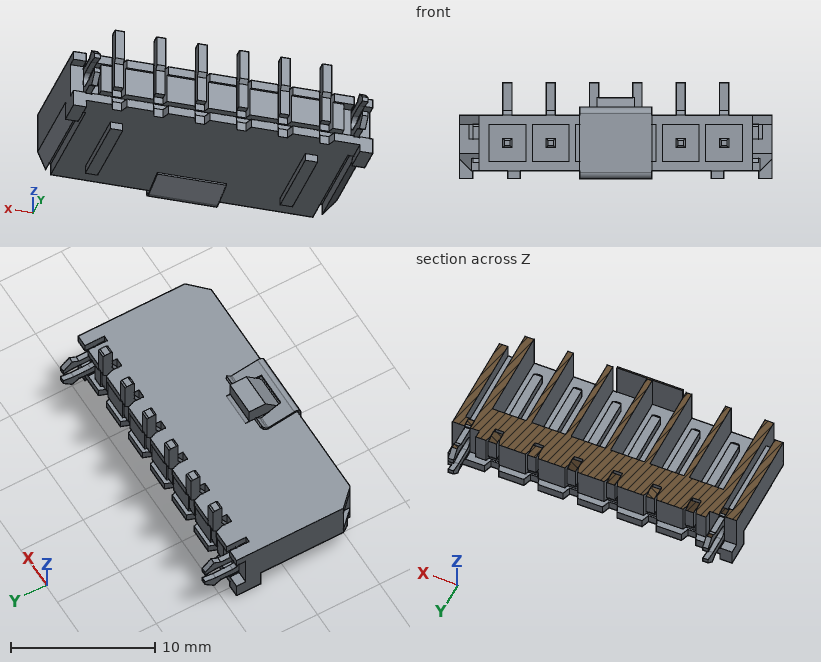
import cadquery as cq
import math


LENGTH = 21.65
DEPTH = 9.92
HEIGHT = 3.85
WALL = 0.65
HALF = LENGTH / 2
ROOF_Z = HEIGHT - WALL

PIN_COUNT = 6
PITCH = 3.0
CAVITY = HEIGHT - 2 * WALL
CAVITY_DEPTH = 6.93
PIN_SIZE = 0.65
PIN_AXIS_Z = HEIGHT / 2
PIN_TIP_Y = 1.95
PIN_TIP_SIZE = 0.37
PIN_TAPER = 0.2
LEG_FRONT_Y = 9.3
LEG_DEPTH = 0.74
LEG_BACK_Y = LEG_FRONT_Y + LEG_DEPTH
LEG_TOP_Z = HEIGHT + 2.27
LEG_CHAMFER_DEPTH = 0.13
LEG_CHAMFER_HEIGHT = 0.06
GUSSET_RISE = 0.32
GUSSET_FRONT_Y = 8.55
GUSSET_ANGLE = 60.0
HEEL_DROP = 0.06
NOTCH_MOUTH = 1.08

RECESS_Y = 9.18
REAR_WALL_Y = 9.76
REAR_WALL_Z = 1.08

CORNER = 1.35
EDGE_CHAMFER = 0.82
INNER_X = HALF - CORNER
POCKET_FLOOR_Z = 1.2
WINDOW_WIDTH = 0.67
WINDOW_FLOOR_Z = 2.19
CHANNEL_HEIGHT = 0.87

STANDOFF = 0.55
FOOT_DEPTH = 1.95
RIB_INNER_X = 6.6
RIB_WIDTH = 0.89
RIB_FRONT_Y = 1.7
RIB_LENGTH = 6.02

LATCH_WIDTH = 2.62
LATCH_HEIGHT = 1.21
LATCH_FRONT_Y = 0.78
LATCH_BACK_Y = 3.31
LATCH_TOE_LENGTH = 0.28
LATCH_TOE_HEIGHT = 0.09

LOCK_THICKNESS = 0.41
LOCK_FRONT_Y = 8.35
LOCK_BACK_Y = 11.89
LOCK_AXIS_Z = 1.9
LOCK_BOTTOM_Z = 0.58
LOCK_FACE_STEP = 0.1
ARM_OUTER = 1.1
ARM_INNER = 0.55
BARB_PEAK = 1.4
BARB_PEAK_Y = 11.17
BARB_FOOT_Y = 10.63
TIP_OUTER = 0.75
TIP_INNER = 0.41
TIP_BEND_Y = 11.05
FORK_CENTRE_Y = 9.68
SHOULDER_Z = 3.25
SHOULDER_FOOT_Y = 9.11
SHOULDER_STEP = 0.1
SHOULDER_TOP_Y = 8.92
UPPER_TOOTH_Z = 3.05

FOOT_WIDTH = HALF - INNER_X - LOCK_THICKNESS

CLIP_WIDTH = 5.0
SHEET = 0.15
BEND_RADIUS = 0.45
BEND_OVERHANG = 0.1
CONTACT_Y = 2.5
LIP_END_Y = 3.0
LIP_ANGLE = 44.0
LIP_RADIUS = 0.13
LIP_CHAMFER = 0.15
CLIP_SLOT_MOUTH = 3.07
CLIP_SLOT_MOUTH_Y = 2.38


def block(x0, x1, y0, y1, z0, z1):
    """Axis-aligned box between two opposite corners."""
    return cq.Workplane("XY").box(x1 - x0, y1 - y0, z1 - z0, centered=False).translate((x0, y0, z0))


def side_profile(points, x_centre, width):
    """Closed (Y, Z) polygon extruded along X about x_centre."""
    sketch = cq.Workplane("YZ").workplane(offset=x_centre - width / 2)
    return sketch.polyline(points).close().extrude(width)


def with_mirror(shape):
    """The shape together with its mirror image across X = 0."""
    return shape.union(shape.mirror("YZ"))


def contact_positions():
    return [(i - (PIN_COUNT - 1) / 2) * PITCH for i in range(PIN_COUNT)]


def make_pin(x):
    bottom = PIN_AXIS_Z - PIN_SIZE / 2
    top = PIN_AXIS_Z + PIN_SIZE / 2
    shank_y = PIN_TIP_Y + PIN_TAPER
    heel_z = HEIGHT - HEEL_DROP
    gusset_drop = (LEG_FRONT_Y - GUSSET_FRONT_Y) * math.tan(math.radians(GUSSET_ANGLE))
    outline = [
        (shank_y, bottom),
        (REAR_WALL_Y, bottom),
        (REAR_WALL_Y, heel_z - (LEG_BACK_Y - REAR_WALL_Y)),
        (LEG_BACK_Y, heel_z),
        (LEG_BACK_Y, LEG_TOP_Z - LEG_CHAMFER_HEIGHT),
        (LEG_BACK_Y - LEG_CHAMFER_DEPTH, LEG_TOP_Z),
        (LEG_FRONT_Y + LEG_CHAMFER_DEPTH, LEG_TOP_Z),
        (LEG_FRONT_Y, LEG_TOP_Z - LEG_CHAMFER_HEIGHT),
        (LEG_FRONT_Y, HEIGHT + GUSSET_RISE),
        (GUSSET_FRONT_Y, HEIGHT + GUSSET_RISE - gusset_drop),
        (GUSSET_FRONT_Y, top),
        (shank_y, top),
    ]
    body = side_profile(outline, x, PIN_SIZE)
    tip = (
        cq.Workplane("XZ", origin=(x, shank_y, PIN_AXIS_Z))
        .rect(PIN_SIZE, PIN_SIZE)
        .workplane(offset=PIN_TAPER)
        .rect(PIN_TIP_SIZE, PIN_TIP_SIZE)
        .loft()
    )
    return body.union(tip)


def make_lock(side):
    """Forked board lock; side is -1 or 1 for the end of the housing."""
    def above(distance):
        return LOCK_AXIS_Z + distance

    def below(distance):
        return LOCK_AXIS_Z - distance

    face_y = LOCK_FRONT_Y + LOCK_FACE_STEP
    x_centre = side * (INNER_X + LOCK_THICKNESS / 2)
    outline = (
        cq.Workplane("YZ")
        .workplane(offset=x_centre - LOCK_THICKNESS / 2)
        .moveTo(FORK_CENTRE_Y, above(ARM_INNER))
        .lineTo(TIP_BEND_Y, above(ARM_INNER))
        .lineTo(LOCK_BACK_Y, above(TIP_INNER))
        .lineTo(LOCK_BACK_Y, above(TIP_OUTER))
        .lineTo(BARB_PEAK_Y, above(BARB_PEAK))
        .lineTo(BARB_FOOT_Y, above(ARM_OUTER))
        .lineTo(SHOULDER_FOOT_Y, above(ARM_OUTER))
        .lineTo(SHOULDER_FOOT_Y, above(ARM_OUTER + SHOULDER_STEP))
        .lineTo(SHOULDER_TOP_Y, SHOULDER_Z)
        .lineTo(face_y, SHOULDER_Z)
        .lineTo(LOCK_FRONT_Y, UPPER_TOOTH_Z)
        .lineTo(LOCK_FRONT_Y, WINDOW_FLOOR_Z)
        .lineTo(face_y, WINDOW_FLOOR_Z)
        .lineTo(face_y, CHANNEL_HEIGHT)
        .lineTo(LOCK_FRONT_Y, LOCK_BOTTOM_Z)
        .lineTo(RECESS_Y, LOCK_BOTTOM_Z)
        .lineTo(RECESS_Y, below(ARM_OUTER))
        .lineTo(BARB_FOOT_Y, below(ARM_OUTER))
        .lineTo(BARB_PEAK_Y, below(BARB_PEAK))
        .lineTo(LOCK_BACK_Y, below(TIP_OUTER))
        .lineTo(LOCK_BACK_Y, below(TIP_INNER))
        .lineTo(TIP_BEND_Y, below(ARM_INNER))
        .lineTo(FORK_CENTRE_Y, below(ARM_INNER))
        .threePointArc((FORK_CENTRE_Y - ARM_INNER, LOCK_AXIS_Z), (FORK_CENTRE_Y, above(ARM_INNER)))
        .close()
    )
    return outline.extrude(LOCK_THICKNESS)


def on_circle(centre, radius, angle):
    """Point in the (Y, Z) plane, with the angle taken from +Z towards +Y."""
    return (centre[0] + radius * math.sin(angle), centre[1] + radius * math.cos(angle))


def clip_arm(has_lip):
    """Upper half of the clip strip: half plate, bend and sloping arm, with or without an upturned lip."""
    bend_inner = BEND_RADIUS - SHEET
    bend = (bend_inner, HEIGHT + BEND_OVERHANG)
    lip_outer = LIP_RADIUS + SHEET
    lip_bend = (CONTACT_Y, HEIGHT + lip_outer)

    run = lip_bend[0] - bend[0]
    rise = lip_bend[1] - bend[1]
    slope = math.asin((bend_inner + lip_outer) / math.hypot(run, rise)) - math.atan2(rise, run)
    bend_middle = (slope - math.pi / 2) / 2

    arm_end = math.pi + slope
    lip_start = math.pi - math.radians(LIP_ANGLE)
    lip_middle = (arm_end + lip_start) / 2

    strip = (
        cq.Workplane("YZ")
        .workplane(offset=-CLIP_WIDTH / 2)
        .moveTo(0, HEIGHT / 2)
        .lineTo(-SHEET, HEIGHT / 2)
        .lineTo(-SHEET, bend[1])
        .threePointArc(on_circle(bend, BEND_RADIUS, bend_middle), on_circle(bend, BEND_RADIUS, slope))
        .lineTo(*on_circle(lip_bend, LIP_RADIUS, arm_end))
    )
    if has_lip:
        lower_start = on_circle(lip_bend, lip_outer, lip_start)
        lip_run = LIP_END_Y - lower_start[0]
        lip_rise = lip_run * math.tan(math.radians(LIP_ANGLE))
        upper_start = on_circle(lip_bend, LIP_RADIUS, lip_start)
        strip = (
            strip.threePointArc(on_circle(lip_bend, LIP_RADIUS, lip_middle), upper_start)
            .lineTo(upper_start[0] + lip_run, upper_start[1] + lip_rise)
            .lineTo(LIP_END_Y, lower_start[1] + lip_rise)
            .lineTo(*lower_start)
            .threePointArc(
                on_circle(lip_bend, lip_outer, lip_middle), on_circle(lip_bend, lip_outer, arm_end)
            )
        )
    else:
        strip = strip.lineTo(*on_circle(lip_bend, lip_outer, arm_end))
    strip = (
        strip.lineTo(*on_circle(bend, bend_inner, slope))
        .threePointArc(on_circle(bend, bend_inner, bend_middle), (0, bend[1]))
        .close()
    )
    return strip.extrude(CLIP_WIDTH)


def clip_slot():
    """Tapered opening that lets the latch through the upper arm."""
    root = LATCH_WIDTH / 2
    mouth = CLIP_SLOT_MOUTH / 2
    return (
        cq.Workplane("XY")
        .workplane(offset=HEIGHT)
        .polyline([
            (-root, LATCH_FRONT_Y),
            (root, LATCH_FRONT_Y),
            (mouth, CLIP_SLOT_MOUTH_Y),
            (mouth, LIP_END_Y),
            (-mouth, LIP_END_Y),
            (-mouth, CLIP_SLOT_MOUTH_Y),
        ])
        .close()
        .extrude(LATCH_HEIGHT)
    )


def lip_corners():
    """Triangles cut off the outer corners of the upturned lip."""
    edge = CLIP_WIDTH / 2
    corner = (
        cq.Workplane("XY")
        .workplane(offset=HEIGHT)
        .polyline([
            (edge, LIP_END_Y),
            (edge - LIP_CHAMFER, LIP_END_Y),
            (edge, LIP_END_Y - LIP_CHAMFER),
        ])
        .close()
        .extrude(LATCH_HEIGHT)
    )
    return with_mirror(corner)


def make_clip():
    upper = clip_arm(True).cut(clip_slot()).cut(lip_corners())
    lower = clip_arm(False).mirror("XY", (0, 0, HEIGHT / 2))
    return upper.union(lower)


def shell():
    """Main block with chamfered front corners and lower long edges."""
    body = block(-HALF, HALF, 0, DEPTH, 0, HEIGHT)
    body = body.faces("<Y").edges("|Z").chamfer(CORNER)
    edge = (
        cq.Workplane("XZ")
        .polyline([(HALF, 0), (HALF - EDGE_CHAMFER, 0), (HALF, EDGE_CHAMFER)])
        .close()
        .extrude(-(DEPTH - FOOT_DEPTH))
    )
    return body.cut(with_mirror(edge))


def feet_and_ribs():
    foot = block(HALF - FOOT_WIDTH, HALF, DEPTH - FOOT_DEPTH, DEPTH, -STANDOFF, 0)
    rib = block(RIB_INNER_X, RIB_INNER_X + RIB_WIDTH, RIB_FRONT_Y, RIB_FRONT_Y + RIB_LENGTH, -STANDOFF, 0)
    return with_mirror(foot.union(rib))


def latch():
    top = HEIGHT + LATCH_HEIGHT
    outline = [
        (LATCH_FRONT_Y, HEIGHT),
        (LATCH_FRONT_Y + LATCH_HEIGHT, top),
        (LATCH_BACK_Y, top),
        (LATCH_BACK_Y, HEIGHT + LATCH_TOE_HEIGHT),
        (LATCH_BACK_Y + LATCH_TOE_LENGTH, HEIGHT),
    ]
    return side_profile(outline, 0, LATCH_WIDTH)


def rear_recess():
    """Full-length recess across the back, less the wall that carries the pins."""
    wall_half = (PIN_COUNT - 1) / 2 * PITCH + CAVITY / 2
    recess = block(-HALF, HALF, RECESS_Y, DEPTH, WALL, ROOF_Z)
    return recess.cut(block(-wall_half, wall_half, RECESS_Y, REAR_WALL_Y, REAR_WALL_Z, ROOF_Z))


def end_cuts():
    """Corner pocket, window, lock slot and lower channel at each end."""
    lock_outer_x = INNER_X + LOCK_THICKNESS
    pocket = block(INNER_X, HALF, 0, CORNER, POCKET_FLOOR_Z, ROOF_Z)
    window = block(INNER_X, INNER_X + WINDOW_WIDTH, CORNER, LOCK_FRONT_Y, WINDOW_FLOOR_Z, ROOF_Z)
    lock_slot = block(INNER_X, lock_outer_x, LOCK_FRONT_Y, DEPTH, LOCK_BOTTOM_Z, HEIGHT)
    channel = block(INNER_X, HALF - EDGE_CHAMFER, 0, LOCK_FRONT_Y, 0, CHANNEL_HEIGHT)
    return with_mirror(pocket.union(window).union(lock_slot).union(channel))


def contact_cuts(x):
    """Front cavity, gusset slot and tapered leg notch, open below, of one contact."""
    cavity = block(x - CAVITY / 2, x + CAVITY / 2, 0, CAVITY_DEPTH, WALL, ROOF_Z)
    slot = block(
        x - PIN_SIZE / 2, x + PIN_SIZE / 2, GUSSET_FRONT_Y, REAR_WALL_Y, PIN_AXIS_Z, HEIGHT
    )
    notch = (
        cq.Workplane("XY")
        .polyline([
            (x - PIN_SIZE / 2, LEG_FRONT_Y),
            (x + PIN_SIZE / 2, LEG_FRONT_Y),
            (x + NOTCH_MOUTH / 2, DEPTH),
            (x - NOTCH_MOUTH / 2, DEPTH),
        ])
        .close()
        .extrude(HEIGHT)
    )
    return cavity.union(slot).union(notch)


def make_housing(pins):
    body = shell().union(feet_and_ribs()).union(latch())
    body = body.cut(rear_recess()).cut(end_cuts())
    for x in contact_positions():
        body = body.cut(contact_cuts(x))
    for pin in pins:
        body = body.cut(pin)
    return body


pins = [make_pin(x) for x in contact_positions()]
locks = [make_lock(side) for side in (-1, 1)]
clip = make_clip()
housing = make_housing(pins)

result = cq.Compound.makeCompound(
    [housing.val(), clip.val(), *[pin.val() for pin in pins], *[lock.val() for lock in locks]]
)